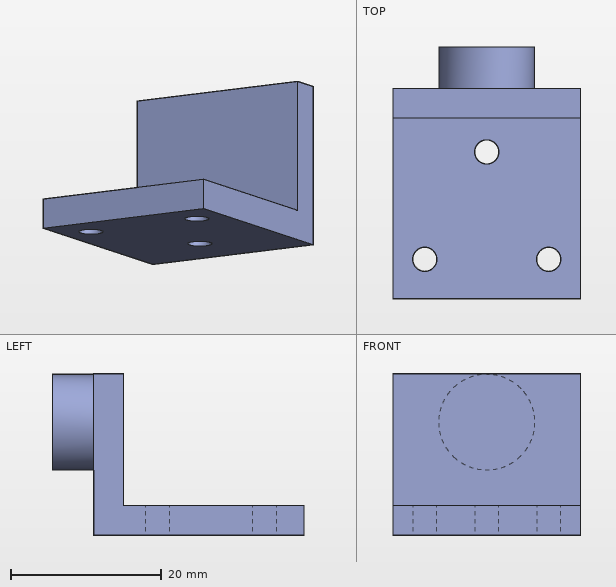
import cadquery as cq
import math

width = 25.0
total_depth = 33.5
height = 21.5
thickness = 4.0

boss_diameter = 12.75
boss_length = 5.5
boss_height = 15.05

hole_diameter = 3.18
hole_spacing = 16.48
front_hole_offset = 5.25

bracket_depth = total_depth - boss_length
rear_hole_offset = front_hole_offset + hole_spacing * math.sqrt(3) / 2
hole_centers = [
    (-hole_spacing / 2, front_hole_offset),
    (hole_spacing / 2, front_hole_offset),
    (0, rear_hole_offset),
]


def make_bracket():
    """L-shaped body: flat base with an upright wall along its rear edge."""
    base = cq.Workplane("XY").box(width, bracket_depth, thickness, centered=(True, False, False))
    wall = (
        cq.Workplane("XY")
        .box(width, thickness, height, centered=(True, False, False))
        .translate((0, bracket_depth - thickness, 0))
    )
    return base.union(wall)


def make_boss():
    """Solid cylinder running from the rear face of the wall to the back."""
    return (
        cq.Workplane("XZ", origin=(0, total_depth, boss_height))
        .circle(boss_diameter / 2)
        .extrude(boss_length)
    )


def make_base_holes():
    """Cutters for the vertical through holes in the base."""
    return cq.Workplane("XY").pushPoints(hole_centers).circle(hole_diameter / 2).extrude(thickness)


result = make_bracket().union(make_boss()).cut(make_base_holes())